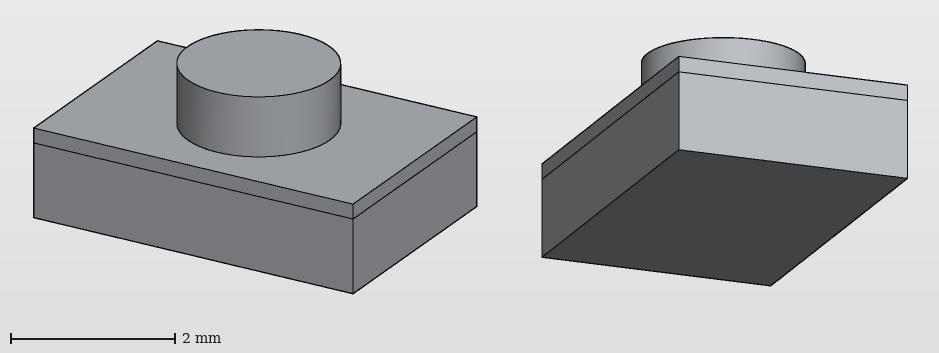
import cadquery as cq

length = 4.5
width = 3.0

base_height = 1.0
cover_thickness = 0.2
button_height = 0.8

button_diameter = 2.0
button_offset_x = 0.05

cover_bottom = base_height
button_bottom = cover_bottom + cover_thickness


def make_slab(bottom, thickness):
    """Rectangular slab over the full footprint, centred on the Z axis."""
    return cq.Workplane("XY", origin=(0, 0, bottom)).rect(length, width).extrude(thickness)


def make_base():
    """Block that forms the lower part of the housing."""
    return make_slab(0, base_height)


def make_cover():
    """Thin plate that lies on the base."""
    return make_slab(cover_bottom, cover_thickness)


def make_button():
    """Round button that stands on the cover."""
    return (
        cq.Workplane("XY", origin=(button_offset_x, 0, button_bottom))
        .circle(button_diameter / 2)
        .extrude(button_height)
    )


base = make_base()
cover = make_cover()
button = make_button()

result = cq.Compound.makeCompound([base.val(), cover.val(), button.val()])